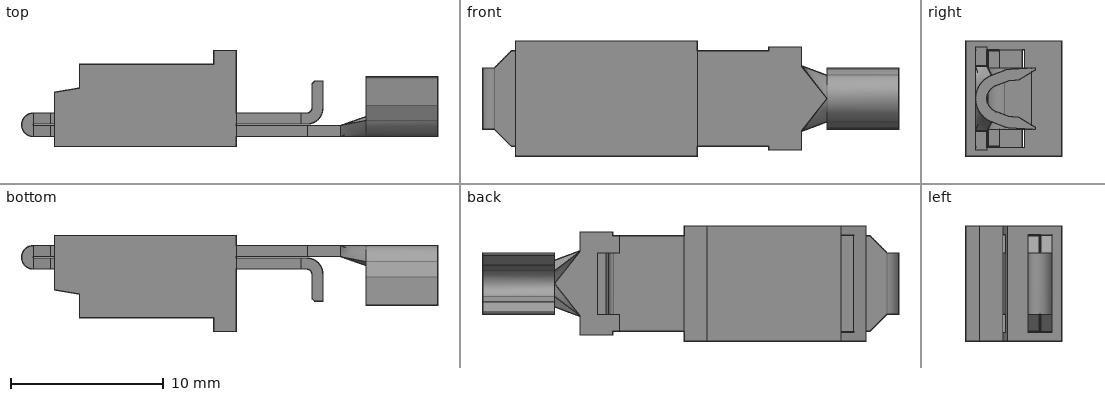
import cadquery as cq
import math


LENGTH = 27.3

SHEET = 0.75
FOLD_GAP = 0.08
SHEET_Y = 0.65
REAR_LAYER_Y = SHEET_Y + SHEET + FOLD_GAP
STACK = 2 * SHEET + FOLD_GAP
NOSE_RADIUS = STACK / 2
NOSE_HALF_WIDTH = 2.02
LAYER_HALF_WIDTH = 3.15
NOSE_TAPER = LAYER_HALF_WIDTH - NOSE_HALF_WIDTH

SHOULDER_START = 18.75
SHOULDER_END = 20.9
SHOULDER_HALF_WIDTH = 3.39

REAR_LAYER_END = 18.32
TONGUE_END = 19.77
TONGUE_TOP = 4.3
TONGUE_HALF_WIDTH = NOSE_HALF_WIDTH
TONGUE_BEND_RADIUS = 0.33
TONGUE_CHAMFER = 0.2

BARREL_START = 22.58
BARREL_RADIUS = 1.65
BARREL_SWEEP = 69.4
WALL_LENGTH = 1.06
WING_LENGTH = 1.8
WING_LEAN = 3.5
WING_BEVEL = 1.1
WING_TIP_RADIUS = 0.08

TRANSITION_HALF_WIDTH = 2.15
FOLD_ROOT = 0.05

HOUSING_START = 2.15
HOUSING_END = 14.1
HOUSING_WIDTH = 7.55
FLANGE_Y = 6.3
FLANGE_START = 12.59
BODY_Y = 5.4
STEP_X = 3.8
LIP_FRONT_Y = 3.58
LIP_REAR_Y = 3.85
FRONT_WALL = 0.82
CAVITY_WIDTH = 6.4


def block(x_range, y_range, half_width):
    """Box between two X and two Y values, symmetric about Z = 0."""
    length = x_range[1] - x_range[0]
    depth = y_range[1] - y_range[0]
    box = cq.Workplane("XY").box(length, depth, 2 * half_width, centered=(False, False, True))
    return box.translate((x_range[0], y_range[0], 0))


def make_housing():
    outline = [
        (HOUSING_START, 0),
        (HOUSING_END, 0),
        (HOUSING_END, FLANGE_Y),
        (FLANGE_START, FLANGE_Y),
        (FLANGE_START, BODY_Y),
        (STEP_X, BODY_Y),
        (STEP_X, LIP_REAR_Y),
        (HOUSING_START, LIP_FRONT_Y),
    ]
    body = cq.Workplane("XY").polyline(outline).close().extrude(HOUSING_WIDTH / 2, both=True)
    cavity_start = HOUSING_START + FRONT_WALL
    cavity = block((cavity_start, HOUSING_END), (SHEET_Y, LIP_REAR_Y), CAVITY_WIDTH / 2)
    nose_slot = block((HOUSING_START, cavity_start), (SHEET_Y, SHEET_Y + STACK), CAVITY_WIDTH / 2)
    return body.cut(cavity).cut(nose_slot)


def make_layer(start_y, end_x):
    """One flat layer of the fold, narrowing to the nose with 45 degree corners."""
    taper_end = NOSE_RADIUS + NOSE_TAPER
    outline = [
        (NOSE_RADIUS, -NOSE_HALF_WIDTH),
        (taper_end, -LAYER_HALF_WIDTH),
        (end_x, -LAYER_HALF_WIDTH),
        (end_x, LAYER_HALF_WIDTH),
        (taper_end, LAYER_HALF_WIDTH),
        (NOSE_RADIUS, NOSE_HALF_WIDTH),
    ]
    return cq.Workplane("XZ", origin=(0, start_y, 0)).polyline(outline).close().extrude(-SHEET)


def make_nose():
    """Half-round fold that joins the two layers."""
    return (
        cq.Workplane("XY")
        .moveTo(NOSE_RADIUS, SHEET_Y)
        .threePointArc((0, SHEET_Y + NOSE_RADIUS), (NOSE_RADIUS, SHEET_Y + STACK))
        .close()
        .extrude(NOSE_HALF_WIDTH, both=True)
    )


def make_tongue():
    """Strip that continues the rear layer and bends upright toward +Y."""
    inner_x = TONGUE_END - SHEET
    inner_y = REAR_LAYER_Y + SHEET
    outer_radius = TONGUE_BEND_RADIUS + SHEET
    bend_x = inner_x - TONGUE_BEND_RADIUS
    bend_y = inner_y + TONGUE_BEND_RADIUS
    diagonal = math.sqrt(0.5)
    return (
        cq.Workplane("XY")
        .moveTo(REAR_LAYER_END, REAR_LAYER_Y)
        .lineTo(bend_x, REAR_LAYER_Y)
        .threePointArc(
            (bend_x + outer_radius * diagonal, bend_y - outer_radius * diagonal),
            (TONGUE_END, bend_y),
        )
        .lineTo(TONGUE_END, TONGUE_TOP)
        .lineTo(inner_x + TONGUE_CHAMFER, TONGUE_TOP)
        .lineTo(inner_x, TONGUE_TOP - TONGUE_CHAMFER)
        .lineTo(inner_x, bend_y)
        .threePointArc(
            (bend_x + TONGUE_BEND_RADIUS * diagonal, bend_y - TONGUE_BEND_RADIUS * diagonal),
            (bend_x, inner_y),
        )
        .lineTo(REAR_LAYER_END, inner_y)
        .close()
        .extrude(TONGUE_HALF_WIDTH, both=True)
    )


def barrel_arc_point(depth, degrees):
    """Y and Z on the rounded bottom, at a depth below its outside and an angle from its lowest line."""
    angle = math.radians(degrees)
    radius = BARREL_RADIUS - depth
    centre_y = SHEET_Y + BARREL_RADIUS
    return (centre_y - radius * math.cos(angle), radius * math.sin(angle))


def step_along(point, lean, distance):
    """Move a Y, Z point along a wall that leans away from Y by the given degrees."""
    angle = math.radians(lean)
    return (point[0] + distance * math.cos(angle), point[1] + distance * math.sin(angle))


def make_barrel_half():
    """Upper half (Z > 0) of the open crimp barrel."""
    wall_lean = 90 - BARREL_SWEEP
    mitre = SHEET * math.tan(math.radians((wall_lean - WING_LEAN) / 2))

    outer_arc_end = barrel_arc_point(0, BARREL_SWEEP)
    outer_kink = step_along(outer_arc_end, wall_lean, WALL_LENGTH)
    outer_top = step_along(outer_kink, WING_LEAN, WING_LENGTH)

    rounded_tip = (outer_top[0] + WING_TIP_RADIUS, outer_top[1] - WING_TIP_RADIUS)
    inner_top = (outer_top[0], outer_top[1] - 2 * WING_TIP_RADIUS)

    inner_arc_end = barrel_arc_point(SHEET, BARREL_SWEEP)
    inner_kink = step_along(inner_arc_end, wall_lean, WALL_LENGTH - mitre)
    inner_bevel = step_along(inner_kink, WING_LEAN, WING_LENGTH - mitre - WING_BEVEL)

    return (
        cq.Workplane("YZ", origin=(BARREL_START, 0, 0))
        .moveTo(*barrel_arc_point(0, 0))
        .threePointArc(barrel_arc_point(0, BARREL_SWEEP / 2), outer_arc_end)
        .lineTo(*outer_kink)
        .lineTo(*outer_top)
        .threePointArc(rounded_tip, inner_top)
        .lineTo(*inner_bevel)
        .lineTo(*inner_kink)
        .lineTo(*inner_arc_end)
        .threePointArc(barrel_arc_point(SHEET, BARREL_SWEEP / 2), barrel_arc_point(SHEET, 0))
        .close()
        .extrude(LENGTH - BARREL_START)
    )


def make_transition_floor():
    """Flat triangle of sheet from the shoulder to the lowest line of the barrel."""
    root_half_width = TRANSITION_HALF_WIDTH - FOLD_ROOT
    outline = [
        (SHOULDER_END, -root_half_width),
        (BARREL_START, 0),
        (SHOULDER_END, root_half_width),
    ]
    return cq.Workplane("XZ", origin=(0, SHEET_Y, 0)).polyline(outline).close().extrude(-SHEET)


def make_transition_side():
    """Side fold (Z > 0) that widens from a corner of the sheet to the rounded bottom of the barrel."""
    root_inner = TRANSITION_HALF_WIDTH - FOLD_ROOT
    root = (
        cq.Workplane("YZ", origin=(SHOULDER_END, 0, 0))
        .moveTo(SHEET_Y, root_inner)
        .lineTo(SHEET_Y, TRANSITION_HALF_WIDTH)
        .lineTo(SHEET_Y + SHEET, TRANSITION_HALF_WIDTH)
        .lineTo(SHEET_Y + SHEET, root_inner)
        .close()
    )
    mouth = (
        cq.Workplane("YZ", origin=(BARREL_START, 0, 0))
        .moveTo(*barrel_arc_point(0, 0))
        .threePointArc(barrel_arc_point(0, BARREL_SWEEP / 2), barrel_arc_point(0, BARREL_SWEEP))
        .lineTo(*barrel_arc_point(SHEET, BARREL_SWEEP))
        .threePointArc(barrel_arc_point(SHEET, BARREL_SWEEP / 2), barrel_arc_point(SHEET, 0))
        .close()
    )
    return cq.Workplane(cq.Solid.makeLoft([root.val(), mouth.val()], True))


def make_terminal():
    terminal = make_layer(SHEET_Y, SHOULDER_END)
    shoulder = block((SHOULDER_START, SHOULDER_END), (SHEET_Y, SHEET_Y + SHEET), SHOULDER_HALF_WIDTH)
    terminal = terminal.union(shoulder)
    terminal = terminal.union(make_layer(REAR_LAYER_Y, REAR_LAYER_END))
    terminal = terminal.union(make_nose())
    terminal = terminal.union(make_tongue())
    terminal = terminal.union(make_transition_floor())
    for half in (make_transition_side(), make_barrel_half()):
        terminal = terminal.union(half).union(half.mirror("XY"))
    return terminal


housing = make_housing()
terminal = make_terminal()

result = cq.Compound.makeCompound([housing.solids().val(), terminal.solids().val()])